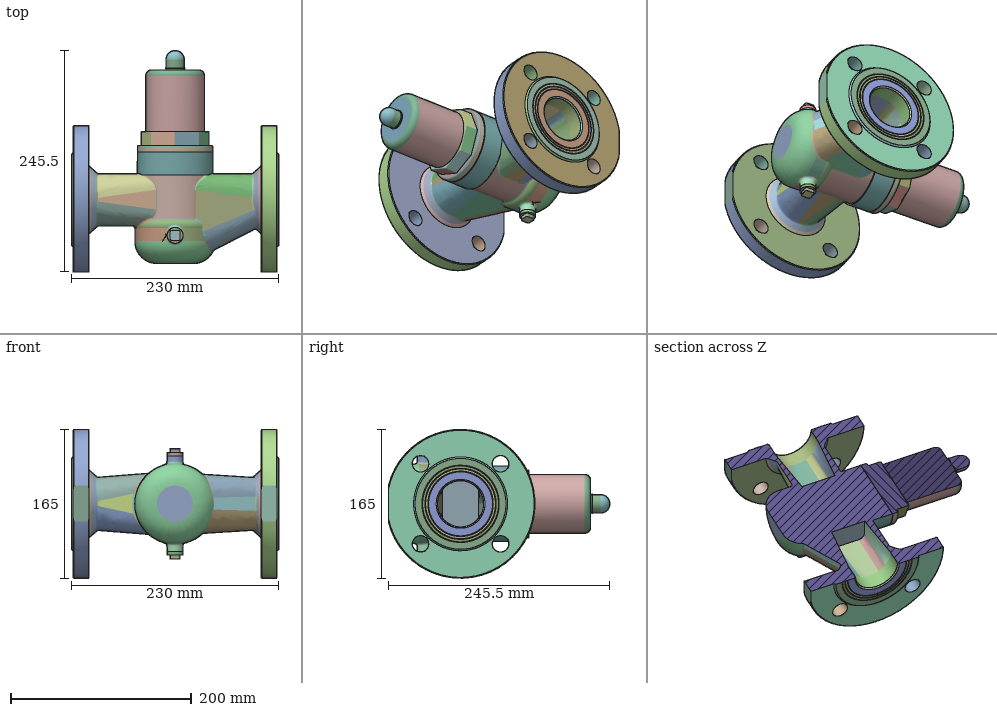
import cadquery as cq
import math


face_to_face = 230.0
raised_face_height = 2.0
flange_thickness = 18.0
flange_radius = 82.5
flange_flat_y = -80.0
flange_edge_chamfer = 1.0
raised_face_top_radius = 50.3
raised_face_base_radius = 52.0
seal_groove_radii = (35.8, 39.0, 42.5)
seal_groove_width = 0.7
bolt_circle_radius = 62.5
bolt_hole_radius = 9.0
bolt_count = 4

end_x = face_to_face / 2
flange_outer_x = end_x - raised_face_height
flange_inner_x = flange_outer_x - flange_thickness

hub_base_radius = 37.8
hub_mid_radius = 35.0
hub_mid_length = 2.7
hub_end_radius = 24.5
hub_length = 14.7

branch_radius = 29.0
branch_start_x = 92.8
branch_end_x = 14.7
inlet_end_half_depth = 35.0
outlet_end_half_depth = 34.0
mouth_corner_radius = 28.0
end_corner_radius = 17.2
outlet_mouth_radius = 20.9
outlet_end_radius = 28.2
outlet_mouth_y = -30.2
outlet_end_y = -70.2

bore_radius = 25.5
bore_chamfer = 1.5
bore_depth = 19.6
passage_end_x = 39.3
passage_end_height = 39.8
passage_end_depth = 51.5
passage_corner_radius = 7.4

drum_radius = 42.0
drum_top_y = 53.3
drum_bottom_y = 27.7
drum_top_chamfer = 0.5
neck_radius = 40.3
neck_bottom_y = -22.0
bulb_radius = 44.7
bulb_top_y = -31.2
bulb_bottom_y = -70.7
bulb_fillet = 24.8
junction_fillet = 2.5

boss_y = -39.3
boss_base_radius = 9.8
boss_top_radius = 8.8
boss_top_z = 53.0
plug_disc_height = 3.7
plug_head_height = 4.5
plug_head_width = 11.3
plug_head_corner_radius = 2.0

collar_top_y = 60.5
collar_edge_fillet = 2.2
octagon_top_y = 75.5
octagon_radius = 37.8
octagon_sides = 8
octagon_edge_fillet = 1.0
cap_top_y = 144.0
cap_radius = 32.7
cap_fillet = 6.6
cap_spigot_top_y = 145.3
seal_ring_height = 0.7
seal_ring_radius = 10.8
knob_radius = 10.3
knob_top_y = 165.5

level_tolerance = 0.2


def disc(radius, bottom_y, top_y):
    """Cylinder on the Y axis between two heights."""
    return cq.Workplane("XZ", origin=(0, bottom_y, 0)).circle(radius).extrude(bottom_y - top_y)


def mirror_to_outlet(inlet_shape):
    return inlet_shape.mirror("YZ")


def rounded_loft(*sections):
    """Tapered solid between sections (x, bottom_y, top_y, half_depth, bottom_radius, top_radius)."""
    wires = []
    for x, bottom_y, top_y, half_depth, bottom_radius, top_radius in sections:
        centre = (x, (top_y + bottom_y) / 2, 0)
        block = cq.Workplane("YZ", origin=centre).rect(top_y - bottom_y, 2 * half_depth).extrude(2.5)
        block = block.edges("|X and <Y").fillet(bottom_radius).edges("|X and >Y").fillet(top_radius)
        wires.append(block.faces("<X").wires().val())
    return cq.Workplane(cq.Solid.makeLoft(wires, True))


def symmetric_zone(half_width, bottom_y, top_y):
    """Edge selector for a box around the Y axis."""
    return cq.selectors.BoxSelector(
        (-half_width, bottom_y, -half_width),
        (half_width, top_y, half_width),
    )


def make_inlet_flange():
    """Flange with raised face and hub at the -X end."""
    flange_plane = cq.Workplane("YZ", origin=(-flange_outer_x, 0, 0))
    flange = flange_plane.circle(flange_radius).extrude(flange_thickness)
    flange = flange.faces("<X or >X").chamfer(flange_edge_chamfer)
    cut_size = 2 * flange_radius
    below_flat = cq.Workplane().box(cut_size, cut_size, cut_size)
    flange = flange.cut(below_flat.translate((-flange_outer_x, flange_flat_y - cut_size / 2, 0)))
    bolt_holes = (
        cq.Workplane("YZ", origin=(-flange_outer_x, 0, 0))
        .polarArray(bolt_circle_radius, 180 / bolt_count, 360, bolt_count)
        .circle(bolt_hole_radius)
        .extrude(flange_thickness)
    )
    flange = flange.cut(bolt_holes)
    facing_and_hub = (
        cq.Workplane("XY")
        .moveTo(-end_x, 0)
        .lineTo(-end_x, raised_face_top_radius)
        .lineTo(-flange_outer_x, raised_face_base_radius)
        .lineTo(-flange_inner_x, hub_base_radius)
        .lineTo(-flange_inner_x + hub_mid_length, hub_mid_radius)
        .lineTo(-flange_inner_x + hub_length, hub_end_radius)
        .lineTo(-flange_inner_x + hub_length, 0)
        .close()
        .revolve(360, (0, 0), (1, 0))
    )
    return flange.union(facing_and_hub)


def make_inlet_port():
    """Chamfered bore and tapering passage from the -X end, with the ring grooves around them."""
    mouth_radius = bore_radius + bore_chamfer
    bore_end_x = -end_x + bore_depth
    port = (
        cq.Workplane("XY")
        .moveTo(-end_x, 0)
        .lineTo(-end_x, mouth_radius)
        .lineTo(-end_x + bore_chamfer, bore_radius)
        .lineTo(bore_end_x, bore_radius)
        .lineTo(bore_end_x, 0)
        .close()
        .revolve(360, (0, 0), (1, 0))
    )
    passage_end = cq.Sketch().rect(passage_end_height, passage_end_depth)
    passage_end = passage_end.vertices().fillet(passage_corner_radius)
    passage = (
        cq.Workplane("YZ", origin=(bore_end_x, 0, 0))
        .placeSketch(
            cq.Sketch().circle(bore_radius),
            passage_end.moved(cq.Location(cq.Vector(0, 0, -passage_end_x - bore_end_x))),
        )
        .loft()
    )
    port = port.union(passage)
    for radius in seal_groove_radii:
        groove = (
            cq.Workplane("XY")
            .moveTo(-end_x, radius - seal_groove_width / 2)
            .lineTo(-end_x, radius + seal_groove_width / 2)
            .lineTo(-end_x + seal_groove_width / 2, radius)
            .close()
            .revolve(360, (0, 0), (1, 0))
        )
        port = port.union(groove)
    return port


def make_column():
    """Neck and bulb turned around the Y axis."""
    shoulder = math.sqrt(0.5)
    bulb_arc_x = bulb_radius - bulb_fillet + bulb_fillet * shoulder
    bulb_arc_y = bulb_bottom_y + bulb_fillet - bulb_fillet * shoulder
    shoulder_arc_x = neck_radius + (bulb_radius - neck_radius) * shoulder
    shoulder_arc_y = bulb_top_y + (neck_bottom_y - bulb_top_y) * shoulder
    return (
        cq.Workplane("XY")
        .moveTo(0, bulb_bottom_y)
        .lineTo(bulb_radius - bulb_fillet, bulb_bottom_y)
        .threePointArc((bulb_arc_x, bulb_arc_y), (bulb_radius, bulb_bottom_y + bulb_fillet))
        .lineTo(bulb_radius, bulb_top_y)
        .threePointArc((shoulder_arc_x, shoulder_arc_y), (neck_radius, neck_bottom_y))
        .lineTo(neck_radius, drum_top_y)
        .lineTo(0, drum_top_y)
        .close()
        .revolve(360, (0, 0), (0, 1))
    )


def make_branches():
    """Inlet branch, level, and outlet branch, whose underside slopes down to the bulb."""
    top_y = branch_radius
    inlet = rounded_loft(
        (-branch_start_x, -branch_radius, top_y, branch_radius, mouth_corner_radius, mouth_corner_radius),
        (-branch_end_x, -branch_radius, top_y, inlet_end_half_depth, end_corner_radius, end_corner_radius),
    )
    outlet = rounded_loft(
        (branch_end_x, outlet_end_y, top_y, outlet_end_half_depth, outlet_end_radius, end_corner_radius),
        (branch_start_x, outlet_mouth_y, top_y, branch_radius, outlet_mouth_radius, mouth_corner_radius),
    )
    return inlet, outlet


def make_boss():
    """Tapered boss on the +Z side of the bulb."""
    return (
        cq.Workplane("XY", origin=(0, boss_y, 0))
        .circle(boss_base_radius)
        .workplane(offset=boss_top_z)
        .circle(boss_top_radius)
        .loft(combine=True)
    )


def boss_foot_edges(body):
    """Edges where the two bosses meet the bulb."""
    edges = []
    for edge in body.edges("%BSPLINE").vals():
        centre = edge.Center()
        near_axis = math.hypot(centre.x, centre.y - boss_y) < boss_base_radius
        if near_axis and abs(centre.z) > neck_radius:
            edges.append(edge)
    return edges


def hub_edges(body):
    """Edges where the branches meet the hubs behind the flanges."""
    hub_start_x = flange_inner_x - hub_length + 2.5
    return [edge for edge in body.edges("%BSPLINE").vals() if abs(edge.Center().x) > hub_start_x]


def make_housing():
    inlet, outlet = make_branches()
    flange = make_inlet_flange()
    boss = make_boss()
    port = make_inlet_port()

    housing = make_column().union(inlet).union(outlet)
    column_zone = symmetric_zone(1.1 * bulb_radius, bulb_bottom_y, drum_top_y)
    neck_foot_zone = symmetric_zone(bulb_radius, neck_bottom_y - level_tolerance, neck_bottom_y + level_tolerance)
    junctions = housing.edges("%BSPLINE").edges(column_zone).vals()
    neck_foot = housing.edges("%CIRCLE").edges(neck_foot_zone).vals()
    housing = cq.Workplane(housing.val().fillet(junction_fillet, junctions + neck_foot))

    housing = housing.union(boss).union(boss.mirror("XY"))
    housing = cq.Workplane(housing.val().fillet(junction_fillet, boss_foot_edges(housing)))

    housing = housing.union(flange).union(mirror_to_outlet(flange))
    housing = cq.Workplane(housing.val().fillet(junction_fillet, hub_edges(housing)))

    drum = disc(drum_radius, drum_bottom_y, drum_top_y).faces(">Y").edges().chamfer(drum_top_chamfer)
    return housing.union(drum).cut(port).cut(mirror_to_outlet(port))


def make_cover():
    """Round collar with an octagonal wrench grip above it."""
    collar = disc(drum_radius, drum_top_y, collar_top_y).faces(">Y").edges().fillet(collar_edge_fillet)
    grip = (
        cq.Workplane("XZ", origin=(0, collar_top_y, 0))
        .polygon(octagon_sides, 2 * octagon_radius)
        .extrude(collar_top_y - octagon_top_y)
        .edges("|Y or >Y")
        .fillet(octagon_edge_fillet)
    )
    return collar.union(grip)


def make_spring_cap():
    """Cap with a rounded top edge and a short spigot under the knob."""
    cap = disc(cap_radius, octagon_top_y, cap_top_y).faces(">Y").edges().fillet(cap_fillet)
    return cap.union(disc(knob_radius, cap_top_y, cap_spigot_top_y))


def make_seal_ring():
    return disc(seal_ring_radius, cap_spigot_top_y, cap_spigot_top_y + seal_ring_height)


def make_knob():
    """Knob with a half-round top."""
    dome_base_y = knob_top_y - knob_radius
    dome = cq.Workplane("XY", origin=(0, dome_base_y, 0)).sphere(knob_radius)
    return disc(knob_radius, cap_spigot_top_y + seal_ring_height, dome_base_y).union(dome)


def make_plug():
    """Plug on the +Z boss: a round disc with a rounded square head."""
    boss_top = cq.Workplane("XY", origin=(0, boss_y, boss_top_z))
    plug = boss_top.circle(boss_top_radius).extrude(plug_disc_height)
    head = (
        cq.Workplane("XY", origin=(0, boss_y, boss_top_z + plug_disc_height))
        .rect(plug_head_width, plug_head_width)
        .extrude(plug_head_height)
        .edges("|Z")
        .fillet(plug_head_corner_radius)
    )
    return plug.union(head)


housing = make_housing()
cover = make_cover()
spring_cap = make_spring_cap()
seal_ring = make_seal_ring()
knob = make_knob()
plugs = []
for turn in (0, 180):
    plugs.append(make_plug().rotate((0, 0, 0), (0, 1, 0), turn).val())

result = cq.Compound.makeCompound(
    [housing.val(), cover.val(), spring_cap.val(), seal_ring.val(), knob.val(), *plugs]
)